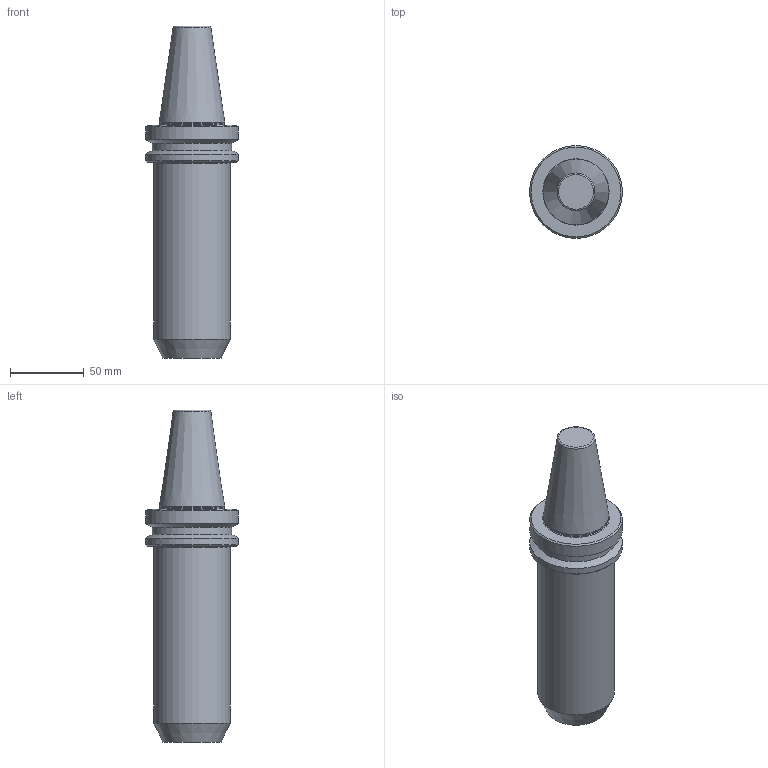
import cadquery as cq
import math


gauge_diameter = 44.45
taper_length = 65.4
taper_ratio = 7 / 24
tip_fillet = 1.0

collar_height = 2.0
relief_depth = 0.2
relief_slope_height = 0.5
collar_fillet = 0.5

flange_diameter = 63.0
flange_thickness = 25.0
flange_chamfer = 1.0
groove_floor_diameter = 54.3
groove_center_z = -16.6
groove_mouth_width = 10.0
groove_wall_angle = 30.0

body_diameter = 52.0
body_fillet = 1.0
gauge_length = 160.0
nose_diameter = 40.0
nose_angle = 25.0

gauge_radius = gauge_diameter / 2
tip_radius = gauge_radius - taper_ratio * taper_length / 2
relief_radius = gauge_radius - relief_depth
flange_radius = flange_diameter / 2
groove_floor_radius = groove_floor_diameter / 2
body_radius = body_diameter / 2
nose_radius = nose_diameter / 2

flange_top_z = -collar_height
flange_bottom_z = flange_top_z - flange_thickness
nose_face_z = -gauge_length
nose_length = (body_radius - nose_radius) / math.tan(math.radians(nose_angle))


def turn(profile):
    """Revolve a closed half profile in the XZ plane about the Z axis."""
    return profile.close().revolve(360, (0, 0, 0), (0, 1, 0))


def make_taper():
    """Taper with a rounded tip."""
    profile = (
        cq.Workplane("XZ")
        .lineTo(gauge_radius, 0)
        .lineTo(tip_radius, taper_length)
        .lineTo(0, taper_length)
    )
    return turn(profile).faces(">Z").edges().fillet(tip_fillet)


def make_collar():
    """Short collar that slopes in to its relief and flares onto the flange in a fillet."""
    profile = (
        cq.Workplane("XZ")
        .lineTo(gauge_radius, 0)
        .lineTo(relief_radius, -relief_slope_height)
        .lineTo(relief_radius, flange_top_z + collar_fillet)
        .radiusArc((relief_radius + collar_fillet, flange_top_z), -collar_fillet)
        .lineTo(0, flange_top_z)
    )
    return turn(profile)


def make_groove():
    """Ring that cuts the gripper groove into the flange rim."""
    half_mouth = groove_mouth_width / 2
    depth = flange_radius - groove_floor_radius
    half_floor = half_mouth - depth * math.tan(math.radians(groove_wall_angle))
    profile = (
        cq.Workplane("XZ")
        .moveTo(flange_radius, groove_center_z + half_mouth)
        .lineTo(groove_floor_radius, groove_center_z + half_floor)
        .lineTo(groove_floor_radius, groove_center_z - half_floor)
        .lineTo(flange_radius, groove_center_z - half_mouth)
    )
    return turn(profile)


def make_flange():
    """Flange disc with chamfered rims and the gripper groove."""
    disc = (
        cq.Workplane("XY")
        .workplane(offset=flange_bottom_z)
        .circle(flange_radius)
        .extrude(flange_thickness)
    )
    disc = disc.faces("<Z or >Z").edges().chamfer(flange_chamfer)
    return disc.cut(make_groove())


def make_body():
    """Straight body with a conical nose, flaring onto the flange in a fillet."""
    profile = (
        cq.Workplane("XZ")
        .moveTo(0, nose_face_z)
        .lineTo(nose_radius, nose_face_z)
        .lineTo(body_radius, nose_face_z + nose_length)
        .lineTo(body_radius, flange_bottom_z - body_fillet)
        .radiusArc((body_radius + body_fillet, flange_bottom_z), body_fillet)
        .lineTo(0, flange_bottom_z)
    )
    return turn(profile)


result = make_taper().union(make_collar()).union(make_flange()).union(make_body())